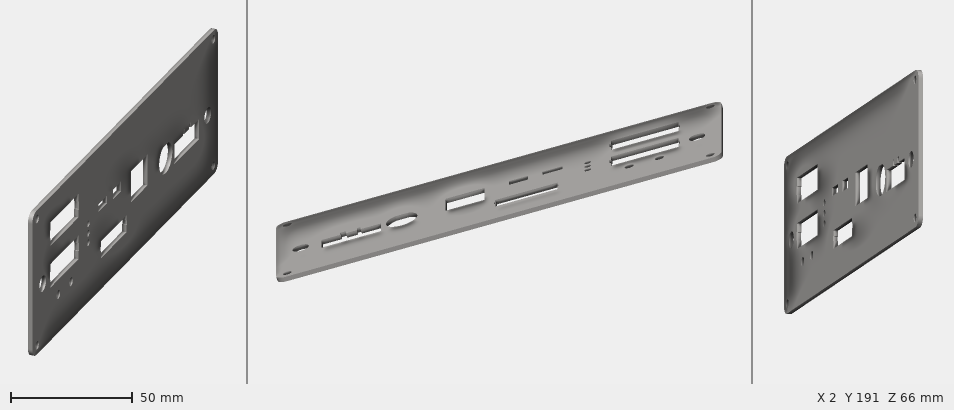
import cadquery as cq

thickness = 2.0
length = 191.0
height = 66.0
corner_radius = 4.0

corner_hole_diameter = 3.6
corner_hole_end_inset = 4.8
corner_hole_edge_inset = 4.0

row_height = -3.3
mounting_hole_diameter = 7.0
mounting_hole_offset = 85.0

round_opening_diameter = 13.5
round_opening_across = -41.7
round_opening_flat_rise = 6.2

keyed_left = -76.1
keyed_width = 25.6
keyed_bottom = -10.0
keyed_height = 9.1
key_slot_rise = 2.4
wide_slot_across = -66.7
wide_slot_width = 2.2
narrow_slot_across = -60.1
narrow_slot_width = 1.6

socket_top = 7.0
square_socket_across = -14.5
square_socket_width = 16.8
square_socket_height = 14.2
tall_port_across = 8.4
tall_port_width = 8.2
tall_port_height = 4.4
flat_port_across = 23.1
flat_port_width = 8.6
flat_port_height = 3.4

indicator_diameter = 2.8
indicator_across = 38.1
indicator_middle_height = -1.45
indicator_pitch = 4.35
indicator_count = 3

button_diameter = 3.8
button_height = -15.6
button_positions = (55.9, 68.9)

relief_depth = 0.6
wide_connector_across = 62.6
wide_connector_width = 28.9
wide_connector_height = 10.8
wide_relief_height = 3.6
upper_connector_height = 15.8
narrow_connector_across = 11.85
narrow_connector_width = 26.5
narrow_connector_height = 7.7
narrow_connector_middle = -15.0
narrow_relief_height = 2.0
narrow_relief_middle = -14.5


def rectangle_cutter(across, middle, width, tall):
    """Box through the plate, centred at the given position."""
    return cq.Workplane("XY").box(thickness, width, tall).translate((0, -across, middle))


def round_cutter(points, diameter):
    """Cylinders through the plate at (across, height) points."""
    centres = [(-across, middle) for across, middle in points]
    sketch = cq.Workplane("YZ").pushPoints(centres).circle(diameter / 2)
    return sketch.extrude(thickness / 2, both=True)


def hanging_cutter(across, width, tall):
    """Socket opening whose top edge lies on the common socket line."""
    return rectangle_cutter(across, socket_top - tall / 2, width, tall)


def connector_cutter(across, middle, width, tall, relief_middle, relief_height):
    """Connector opening with a shallow relief in both ends."""
    body = rectangle_cutter(across, middle, width, tall)
    reliefs = rectangle_cutter(across, relief_middle, width + 2 * relief_depth, relief_height)
    return body.union(reliefs)


def flat_topped_cutter():
    """Round connector opening cut off by a flat above its centre."""
    circle = round_cutter([(round_opening_across, row_height)], round_opening_diameter)
    radius = round_opening_diameter / 2
    kept_height = radius + round_opening_flat_rise
    kept_middle = row_height + (round_opening_flat_rise - radius) / 2
    kept = rectangle_cutter(round_opening_across, kept_middle, round_opening_diameter, kept_height)
    return circle.intersect(kept)


def keyed_cutter():
    """Rectangular opening with two key slots in its top edge."""
    opening = rectangle_cutter(
        keyed_left + keyed_width / 2, keyed_bottom + keyed_height / 2, keyed_width, keyed_height
    )
    slot_height = keyed_height + key_slot_rise
    slot_middle = keyed_bottom + slot_height / 2
    slots = (
        (wide_slot_across, wide_slot_width),
        (narrow_slot_across, narrow_slot_width),
    )
    for across, width in slots:
        opening = opening.union(rectangle_cutter(across, slot_middle, width, slot_height))
    return opening


corner_across = length / 2 - corner_hole_end_inset
corner_height = height / 2 - corner_hole_edge_inset
corner_points = [(side * corner_across, end * corner_height) for side in (-1, 1) for end in (-1, 1)]
mounting_points = [(side * mounting_hole_offset, row_height) for side in (-1, 1)]
indicator_bottom = indicator_middle_height - indicator_pitch * (indicator_count - 1) / 2
indicator_points = [
    (indicator_across, indicator_bottom + step * indicator_pitch) for step in range(indicator_count)
]
button_points = [(across, button_height) for across in button_positions]

cutters = [
    round_cutter(corner_points, corner_hole_diameter),
    round_cutter(mounting_points, mounting_hole_diameter),
    round_cutter(indicator_points, indicator_diameter),
    round_cutter(button_points, button_diameter),
    flat_topped_cutter(),
    keyed_cutter(),
    hanging_cutter(square_socket_across, square_socket_width, square_socket_height),
    hanging_cutter(tall_port_across, tall_port_width, tall_port_height),
    hanging_cutter(flat_port_across, flat_port_width, flat_port_height),
    connector_cutter(
        narrow_connector_across,
        narrow_connector_middle,
        narrow_connector_width,
        narrow_connector_height,
        narrow_relief_middle,
        narrow_relief_height,
    ),
]
for connector_middle in (upper_connector_height, row_height):
    cutters.append(
        connector_cutter(
            wide_connector_across,
            connector_middle,
            wide_connector_width,
            wide_connector_height,
            connector_middle,
            wide_relief_height,
        )
    )

result = cq.Workplane("XY").box(thickness, length, height).edges("|X").fillet(corner_radius)
for cutter in cutters:
    result = result.cut(cutter)